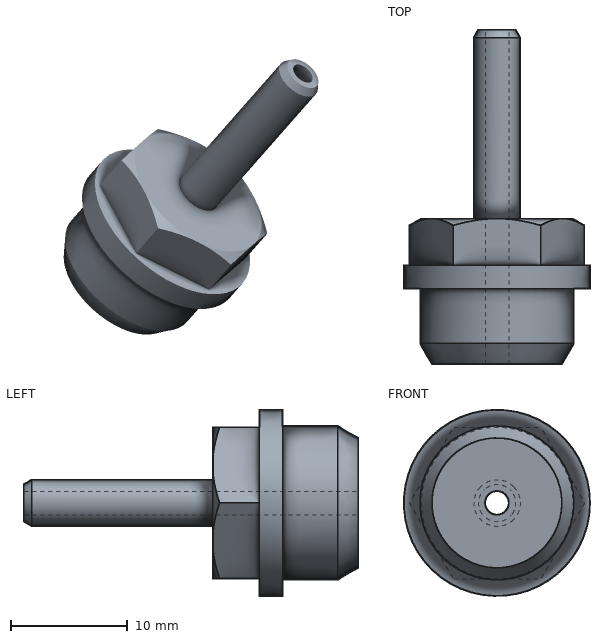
import cadquery as cq
import math

total_length = 28.7
plug_length = 6.5
flange_thickness = 2.0
hex_height = 4.0

plug_diameter = 13.2
plug_face_diameter = 11.14
flange_diameter = 16.0
hex_across_flats = 13.0
stem_diameter = 4.0
bore_diameter = 2.0

plug_chamfer_length = 1.78
stem_chamfer_length = 0.7
stem_chamfer_depth = 0.4
hex_chamfer_angle = 30.0

flange_start = plug_length
hex_start = flange_start + flange_thickness
stem_start = hex_start + hex_height


def revolve_about_y(profile):
    """Revolve a closed (radius, y) outline about the Y axis."""
    return cq.Workplane("XY").polyline(profile).close().revolve(360, (0, 0), (0, 1))


def make_turned_body():
    """Plug, flange and stem as one turned shape."""
    plug_radius = plug_diameter / 2
    flange_radius = flange_diameter / 2
    stem_radius = stem_diameter / 2
    return revolve_about_y([
        (0, 0),
        (plug_face_diameter / 2, 0),
        (plug_radius, plug_chamfer_length),
        (plug_radius, flange_start),
        (flange_radius, flange_start),
        (flange_radius, hex_start),
        (stem_radius, hex_start),
        (stem_radius, total_length - stem_chamfer_length),
        (stem_radius - stem_chamfer_depth, total_length),
        (0, total_length),
    ])


def make_hexagon():
    """Hexagon with corners on the X axis and a conical chamfer on its stem side."""
    corner_radius = hex_across_flats / 2 / math.cos(math.radians(30))
    flat_radius = hex_across_flats / 2
    chamfer_drop = (corner_radius - flat_radius) * math.tan(math.radians(hex_chamfer_angle))
    prism = (
        cq.Workplane("XZ", origin=(0, hex_start, 0))
        .polygon(6, 2 * corner_radius)
        .extrude(-hex_height)
    )
    chamfer_envelope = revolve_about_y([
        (0, hex_start),
        (corner_radius, hex_start),
        (corner_radius, stem_start - chamfer_drop),
        (flat_radius, stem_start),
        (0, stem_start),
    ])
    return prism.intersect(chamfer_envelope)


def make_bore():
    """Straight bore through the full length."""
    return cq.Workplane("XZ").circle(bore_diameter / 2).extrude(-total_length)


result = make_turned_body().union(make_hexagon()).cut(make_bore())